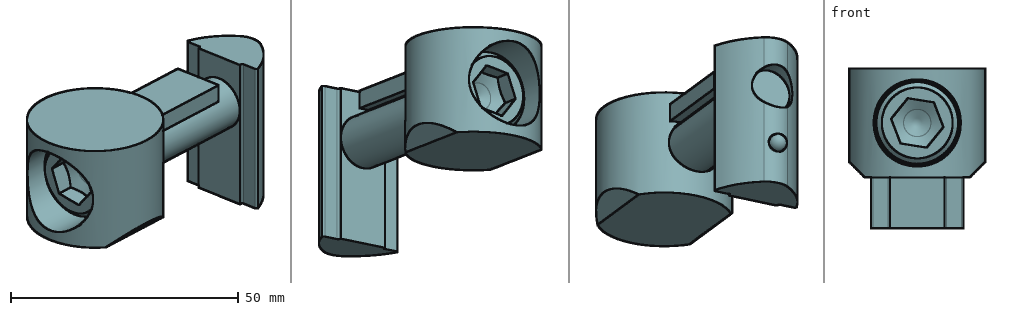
import cadquery as cq
import math


barrel_diameter = 30.0
barrel_height = 24.0
barrel_radius = barrel_diameter / 2
barrel_top = barrel_height / 2
side_chamfer = 3.5
counterbore_diameter = 19.2
seat_diameter = 18.5
seat_chamfer = (counterbore_diameter - seat_diameter) / 2
clearance_diameter = 12.3
key_end = 34.45
key_top = 9.1
key_height = 4.05

shank_diameter = 12.0
tip_diameter = 10.1
head_diameter = 18.0
head_face_diameter = 15.6
head_height = shank_diameter
head_face = -7.85
head_seat = head_face + head_height
head_chamfer = (head_diameter - head_face_diameter) / 2
socket_across_flats = 10.1
socket_depth = 3.85
socket_turn = 9.0
drill_diameter = 6.0
floor_drop = 1.7
drill_point_drop = 1.4

nut_height = 34.6
overall_height = 35.2
nut_bottom = barrel_top - overall_height
nut_half_width = 10.2
nut_crown = 52.8
nut_shoulder = 42.2
nut_front = 41.45
edge_round = 0.5
boss_half_width = 6.0
boss_fillet = 0.4
crown_half_width = 2.95
crown_radius = 5.6
flank_mid_x = 7.0
flank_mid_y = 48.3
bore_diameter = tip_diameter
tip_end = 49.0

ball_diameter = 4.05
overall_length = 70.0
ball_end = overall_length - barrel_radius
ball_y = ball_end - ball_diameter / 2
ball_z = -13.7



def rod(diameter, start, end):
    """Cylinder along Y between two Y positions."""
    return cq.Workplane("XZ", origin=(0, start, 0)).circle(diameter / 2).extrude(start - end)


def make_housing():
    barrel = (
        cq.Workplane("XY", origin=(0, 0, -barrel_top))
        .circle(barrel_radius)
        .extrude(barrel_height)
    )
    envelope = (
        cq.Workplane("XY")
        .box(barrel_diameter, barrel_diameter, barrel_height)
        .edges("|Y and <Z")
        .chamfer(side_chamfer)
    )
    key = cq.Workplane("XY", origin=(0, 0, key_top - key_height)).box(
        shank_diameter, key_end, key_height, centered=(True, False, False)
    )
    counterbore = rod(counterbore_diameter, -barrel_radius, head_seat).faces(">Y").chamfer(seat_chamfer)
    clearance = rod(clearance_diameter, -barrel_radius, key_end)
    return barrel.intersect(envelope).union(key).cut(counterbore).cut(clearance)


def make_socket():
    corner_diameter = socket_across_flats / math.cos(math.pi / 6)
    corner_radius = corner_diameter / 2
    drill_radius = drill_diameter / 2
    floor_depth = socket_depth + floor_drop
    total_depth = floor_depth + drill_point_drop
    prism = (
        cq.Workplane("XZ", origin=(0, head_face, 0))
        .polygon(6, corner_diameter)
        .extrude(-total_depth)
        .rotate((0, 0, 0), (0, 1, 0), socket_turn)
    )
    stepped_cone = (
        cq.Workplane("XY")
        .moveTo(0, head_face)
        .lineTo(corner_radius, head_face)
        .lineTo(corner_radius, head_face + socket_depth)
        .lineTo(drill_radius, head_face + floor_depth)
        .lineTo(0, head_face + total_depth)
        .close()
        .revolve(360, (0, 0), (0, 1))
    )
    return prism.intersect(stepped_cone)


def make_screw():
    head = rod(head_diameter, head_face, head_seat).faces("<Y").chamfer(head_chamfer)
    shank = rod(shank_diameter, head_seat, nut_front)
    tip = rod(tip_diameter, nut_front, tip_end)
    return head.union(shank).union(tip).cut(make_socket())


def make_ball():
    return cq.Workplane("XY", origin=(0, ball_y, ball_z)).sphere(ball_diameter / 2)


def make_nut():
    crown_sag = crown_radius - math.sqrt(crown_radius**2 - crown_half_width**2)
    crown_edge = nut_crown - crown_sag
    outline = (
        cq.Workplane("XY", origin=(0, 0, nut_bottom))
        .moveTo(-boss_half_width, nut_front)
        .lineTo(boss_half_width, nut_front)
        .lineTo(boss_half_width, nut_shoulder - boss_fillet)
        .radiusArc((boss_half_width + boss_fillet, nut_shoulder), boss_fillet)
        .lineTo(nut_half_width - edge_round, nut_shoulder)
        .radiusArc((nut_half_width, nut_shoulder + edge_round), -edge_round)
        .threePointArc((flank_mid_x, flank_mid_y), (crown_half_width, crown_edge))
        .threePointArc((0, nut_crown), (-crown_half_width, crown_edge))
        .threePointArc((-flank_mid_x, flank_mid_y), (-nut_half_width, nut_shoulder + edge_round))
        .radiusArc((-nut_half_width + edge_round, nut_shoulder), -edge_round)
        .lineTo(-boss_half_width - boss_fillet, nut_shoulder)
        .radiusArc((-boss_half_width, nut_shoulder - boss_fillet), boss_fillet)
        .close()
    )
    bore = rod(bore_diameter, nut_front, nut_crown)
    return outline.extrude(nut_height).cut(bore).cut(make_ball())


housing = make_housing()
screw = make_screw()
nut = make_nut()
ball = make_ball()

result = cq.Compound.makeCompound([housing.val(), screw.val(), nut.val(), ball.val()])